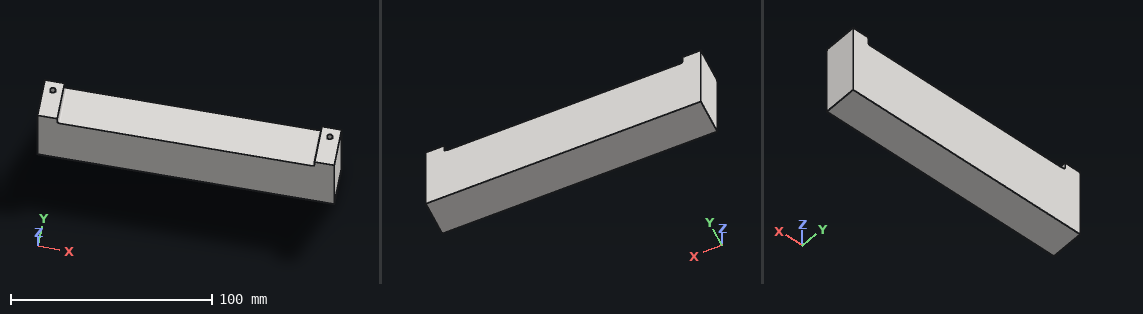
import cadquery as cq

length = 150.0
width = 20.0
height = 45.0

ear_length = 10.0
recess_depth = 5.0
recess_fillet = 1.4

hole_diameter = 2.7
hole_depth = 10.0
hole_from_back = 5.0
hole_x = length / 2 - ear_length / 2
hole_y = width / 2 - hole_from_back


def make_block():
    """Plain block centred in X and Y, standing on Z = 0."""
    return cq.Workplane("XY").box(length, width, height, centered=(True, True, False))


def make_recess():
    """Cutter for the top recess, with rounded lower corners at both ears."""
    recess_length = length - 2 * ear_length
    return (
        cq.Workplane("XY")
        .workplane(offset=height - recess_depth)
        .box(recess_length, width, recess_depth, centered=(True, True, False))
        .faces("<Z")
        .edges("|Y")
        .fillet(recess_fillet)
    )


def make_holes():
    """Cutters for the two ear holes, mirrored about the middle of the block."""
    return (
        cq.Workplane("XY")
        .workplane(offset=height)
        .pushPoints([(side * hole_x, hole_y) for side in (-1, 1)])
        .circle(hole_diameter / 2)
        .extrude(-hole_depth)
    )


result = make_block().cut(make_recess()).cut(make_holes())